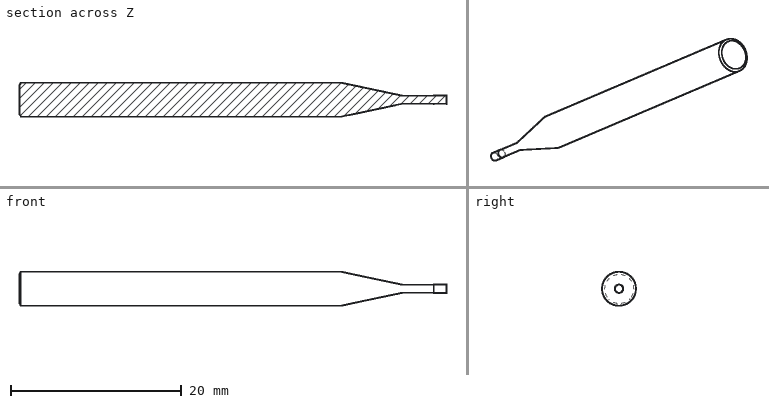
import cadquery as cq
import math

overall_length = 50.0
shank_radius = 4.0 / 2
cutter_radius = 1.0 / 2
neck_radius = 0.94 / 2

cutter_length = 1.5
reach = 5.1
taper_half_angle = 12.0

bevel_radial = 0.3
bevel_angle = 30.0
bevel_axial = bevel_radial * math.tan(math.radians(bevel_angle))

neck_start_x = overall_length - reach
cutter_start_x = overall_length - cutter_length
taper_length = (shank_radius - neck_radius) / math.tan(math.radians(taper_half_angle))
taper_start_x = neck_start_x - taper_length


def half_profile():
    """Closed half section in the XY plane, lying on the X axis."""
    return (
        cq.Workplane("XY")
        .moveTo(0, 0)
        .lineTo(0, shank_radius - bevel_radial)
        .lineTo(bevel_axial, shank_radius)
        .lineTo(taper_start_x, shank_radius)
        .lineTo(neck_start_x, neck_radius)
        .lineTo(cutter_start_x, neck_radius)
        .lineTo(cutter_start_x, cutter_radius)
        .lineTo(overall_length, cutter_radius)
        .lineTo(overall_length, 0)
        .close()
    )


result = half_profile().revolve(360, (0, 0, 0), (1, 0, 0))